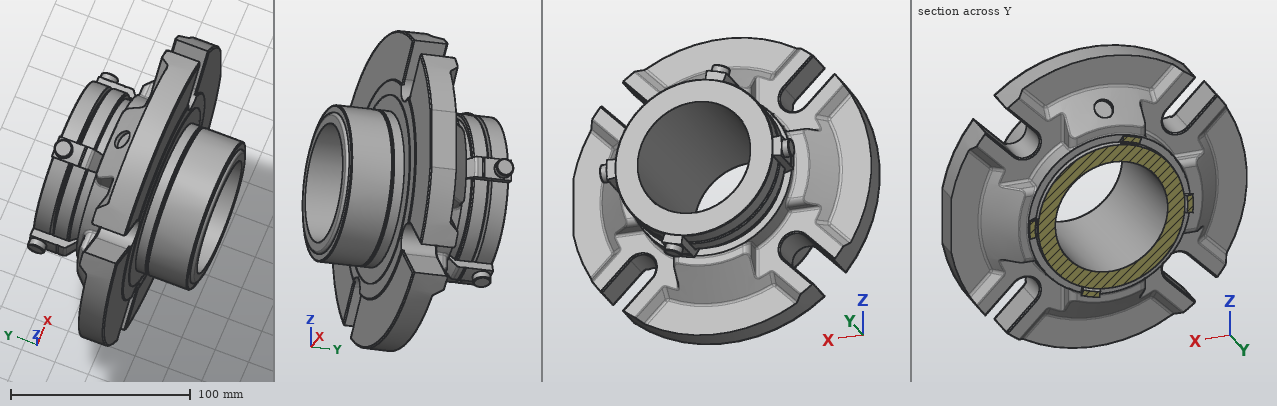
import cadquery as cq
import math

EPS = 0.01

BORE_R = 66.67 / 2
SLEEVE_R = 87.63 / 2
NOSE_Y = -33.7
SHOULDER_Y = -32.0
NOSE_R = 79.35 / 2
NOSE_FILLET_R = 1.6
SHOULDER_CHAMFER = 0.6
GROOVE_R = 84.28 / 2
GROOVE_FRONT_Y = -8.5
GROOVE_BACK_Y = -7.4
GROOVE_CHAMFER = 0.5

FLANGE_R = 177.55 / 2
FLANGE_T = 15.0
FLAT_X = 175.92 - FLANGE_R
FLANGE_CHAMFER = 0.8

OUTER_STEP_R = 123.2 / 2
OUTER_STEP_H = 0.6
OUTER_STEP_CHAMFER = 0.6
INNER_STEP_R = 105.77 / 2
INNER_STEP_H = 1.1

SLOT_W = 17.6
SLOT_CENTRE_R = 64.2
SLOT_ANGLES = [45, 135, 225, 315]
PAD_TOP_Y = 20.3
PAD_TOP_W = 35.8
PAD_BASE_W = 45.0
PAD_BLEND_R = 3.0
PAD_FOOT_R = 2.2
PAD_OVERHANG = 4.0

HUB_BASE_R = 70.7

COLLAR_R = 48.2
COLLAR_TOP_Y = 32.5
LUG_W = 45.4
LUG_CORNER_R = 3.7
LUG_TOP_Y = 32.0
LOW_LUG_TOP_Y = 28.7
LUG_TOPS = {0: LUG_TOP_Y, 90: LUG_TOP_Y, 180: LOW_LUG_TOP_Y, 270: LUG_TOP_Y}
LUG_EDGE_R = 1.0
LUG_ROOT_R = 1.4
BASE_R = 1.5

PORT_D = 11.0
PORT_Y = 24.4
PORT_DEPTH = 2.5

RING_R = 93.5 / 2
FRONT_RING_Y = 38.2
GAP_FRONT_Y = 47.6
GAP_BACK_Y = 49.2
GAP_R = 81.36 / 2
BACK_Y = 92.63 + NOSE_Y
RING_CHAMFER = 0.8
BACK_CHAMFER = 0.4

CLIP_ANGLES = [0, 105, 180, 285]
CLIP_SPAN = 13.4
CLIP_INNER_R = 46.5
CLIP_OUTER_R = 51.7
CLIP_BEND_Y = 38.2
CLIP_BEND_R = 2.0
CLIP_INNER_BEND_Y = 37.4
CLIP_TIP_R = 43.5
CLIP_TIP_OUTER_R = 44.2
CLIP_TIP_BACK_Y = 34.3
CLIP_GROOVE_Y = 42.7
CLIP_GROOVE_W = 1.1
CLIP_GROOVE_DEPTH = 0.2
SCREW_D = 10.0
SCREW_TOP_R = 55.8
SCREW_CHAMFER = 0.5


def revolve(points, span=360):
    """Solid of revolution about Y from (radius, y) points, through span degrees."""
    return cq.Workplane("XY").polyline(points).close().revolve(span, (0, 0, 0), (0, 1, 0))


def disc(radius, y_start, y_end):
    """Solid cylinder about Y."""
    return revolve([(0, y_start), (radius, y_start), (radius, y_end), (0, y_end)])


def turned(shape, angle):
    """Shape made on the +X side, turned from +X towards +Z."""
    return shape.rotate((0, 0, 0), (0, 1, 0), -angle)


def radius_of(edge):
    """Distance from the Y axis to the middle of an edge."""
    return math.hypot(edge.Center().x, edge.Center().z)


def cone_radius(y):
    """Radius of the 45 degree hub cone at height y."""
    return HUB_BASE_R - (y - FLANGE_T)


def make_sleeve():
    """Nose, grooved front sleeve, neck and the two rings."""
    sleeve = revolve([
        (0, NOSE_Y),
        (NOSE_R, NOSE_Y),
        (NOSE_R, SHOULDER_Y),
        (SLEEVE_R - SHOULDER_CHAMFER, SHOULDER_Y),
        (SLEEVE_R, SHOULDER_Y + SHOULDER_CHAMFER),
        (SLEEVE_R, GROOVE_FRONT_Y),
        (GROOVE_R, GROOVE_FRONT_Y),
        (GROOVE_R, GROOVE_BACK_Y),
        (SLEEVE_R - GROOVE_CHAMFER, GROOVE_BACK_Y),
        (SLEEVE_R, GROOVE_BACK_Y + GROOVE_CHAMFER),
        (SLEEVE_R, FRONT_RING_Y),
        (RING_R - RING_CHAMFER, FRONT_RING_Y),
        (RING_R, FRONT_RING_Y + RING_CHAMFER),
        (RING_R, GAP_FRONT_Y - RING_CHAMFER),
        (RING_R - RING_CHAMFER, GAP_FRONT_Y),
        (GAP_R, GAP_FRONT_Y),
        (GAP_R, GAP_BACK_Y),
        (RING_R, GAP_BACK_Y),
        (RING_R, BACK_Y - BACK_CHAMFER),
        (RING_R - BACK_CHAMFER, BACK_Y),
        (0, BACK_Y),
    ])
    return sleeve.faces("<Y").edges().fillet(NOSE_FILLET_R)


def make_slot(angle):
    """Round-ended slot cutter, open at the rim."""
    length = FLANGE_R
    depth = 2 * PAD_TOP_Y
    arm = cq.Workplane("XY").box(length, depth, SLOT_W).translate((SLOT_CENTRE_R + length / 2, 0, 0))
    end = disc(SLOT_W / 2, -depth / 2, depth / 2).translate((SLOT_CENTRE_R, 0, 0))
    return turned(arm.union(end).translate((0, PAD_TOP_Y / 2, 0)), angle)


def make_pad(angle):
    """Raised pad with sloping sides, reaching from the hub past the rim."""
    base = PAD_BASE_W / 2
    top = PAD_TOP_W / 2
    section = [(FLANGE_T, -base), (FLANGE_T, base), (PAD_TOP_Y, top), (PAD_TOP_Y, -top)]
    pad = cq.Workplane("YZ").polyline(section).close().extrude(2 * FLANGE_R)
    return turned(pad.intersect(disc(FLANGE_R + PAD_OVERHANG, FLANGE_T, PAD_TOP_Y)), angle)


def make_coned_disc():
    """Flange disc with a full cone and the four pads behind it, all blended, trimmed to the rim."""
    cone = revolve([
        (0, FLANGE_T),
        (cone_radius(FLANGE_T), FLANGE_T),
        (cone_radius(COLLAR_TOP_Y), COLLAR_TOP_Y),
        (0, COLLAR_TOP_Y),
    ])
    for angle in SLOT_ANGLES:
        cone = cone.union(make_pad(angle))

    def is_inside_corner(edge):
        beside_pad = FLANGE_T + EPS < edge.Center().y < PAD_TOP_Y - EPS
        return beside_pad and radius_of(edge) < FLANGE_R - PAD_OVERHANG

    def is_foot(edge):
        return abs(edge.Center().y - FLANGE_T) < EPS and radius_of(edge) < FLANGE_R - PAD_OVERHANG

    cone = cone.edges().filter(is_inside_corner).fillet(PAD_BLEND_R)
    body = disc(FLANGE_R + 2 * PAD_OVERHANG, 0, FLANGE_T).union(cone)
    body = body.edges().filter(is_foot).fillet(PAD_FOOT_R)
    return body.intersect(disc(FLANGE_R, 0, COLLAR_TOP_Y))


def make_lug_bar(angle, top_y):
    """Bar with rounded top corners, running out from the axis at the width of a lug."""
    height = top_y - PAD_TOP_Y
    bar = cq.Workplane("XY").box(FLANGE_R, height, LUG_W).edges("|X and >Y").fillet(LUG_CORNER_R)
    return turned(bar.translate((FLANGE_R / 2, PAD_TOP_Y + height / 2, 0)), angle)


def make_back_envelope():
    """Collar and lug bars standing on a plate: the limit that shapes the back of the coned disc."""
    envelope = disc(COLLAR_R, PAD_TOP_Y, COLLAR_TOP_Y)
    for angle, top_y in LUG_TOPS.items():
        envelope = envelope.union(make_lug_bar(angle, top_y))

    def is_lug_root(edge):
        on_collar = abs(radius_of(edge) - COLLAR_R) < LUG_ROOT_R
        return on_collar and PAD_TOP_Y + EPS < edge.Center().y < LUG_TOP_Y - EPS

    def is_base(edge):
        return abs(edge.Center().y - PAD_TOP_Y) < EPS and radius_of(edge) < FLANGE_R

    envelope = envelope.edges().filter(is_lug_root).fillet(LUG_ROOT_R)
    envelope = envelope.union(disc(2 * FLANGE_R, 0, PAD_TOP_Y))
    return envelope.edges().filter(is_base).fillet(BASE_R)


def make_flange_body():
    """Flange disc, pads, hub, collar and lugs, with the rims of the sloping lug faces rounded."""
    def is_lug_rim(edge):
        y = edge.Center().y
        near_cone = abs(radius_of(edge) - cone_radius(y)) < LUG_CORNER_R
        clear_of_collar = radius_of(edge) > COLLAR_R + LUG_ROOT_R
        curved = edge.geomType() in ("HYPERBOLA", "BSPLINE", "CIRCLE")
        return y > PAD_TOP_Y + EPS and clear_of_collar and near_cone and curved

    body = make_coned_disc().intersect(make_back_envelope())
    return body.edges().filter(is_lug_rim).fillet(LUG_EDGE_R)


def make_front_steps():
    """Two shallow steps standing on the front face of the flange."""
    return revolve([
        (0, -INNER_STEP_H),
        (INNER_STEP_R, -INNER_STEP_H),
        (INNER_STEP_R, -OUTER_STEP_H),
        (OUTER_STEP_R - OUTER_STEP_CHAMFER, -OUTER_STEP_H),
        (OUTER_STEP_R, 0),
        (OUTER_STEP_R, FLANGE_CHAMFER),
        (0, FLANGE_CHAMFER),
    ])


def make_flange():
    """Flange body with its flat, bolt slots, edge chamfers and front steps."""
    size = 4 * FLANGE_R
    beyond_flat = cq.Workplane("XY").box(size, size, size).translate((FLAT_X + size / 2, 0, 0))
    flange = make_flange_body().cut(beyond_flat)
    steps = make_front_steps()
    for angle in SLOT_ANGLES:
        flange = flange.cut(make_slot(angle))
        steps = steps.cut(make_slot(angle))

    def is_slot_back(edge):
        centre = edge.Center()
        off_diagonal = abs(abs(centre.x) - abs(centre.z)) / math.sqrt(2)
        on_slot = abs(off_diagonal - SLOT_W / 2) < EPS and edge.geomType() == "LINE"
        return abs(centre.y - PAD_TOP_Y) < EPS and on_slot

    flange = flange.faces("<Y").chamfer(FLANGE_CHAMFER)
    flange = flange.edges().filter(is_slot_back).chamfer(FLANGE_CHAMFER)
    return flange.union(steps)


def make_port():
    """Drill for the port, square to the 45 degree face of the +Z lug."""
    face = cq.Plane(origin=(0, PORT_Y, cone_radius(PORT_Y)), xDir=(1, 0, 0), normal=(0, 1, 1))
    return cq.Workplane(face).circle(PORT_D / 2).extrude(PORT_DEPTH, both=True)


def make_clip(angle):
    """Clip as a sector with a bent tip and a shallow groove, and the screw head on it."""
    clip = revolve([
        (CLIP_INNER_R, BACK_Y),
        (CLIP_OUTER_R, BACK_Y),
        (CLIP_OUTER_R, CLIP_BEND_Y),
        (CLIP_TIP_OUTER_R, COLLAR_TOP_Y),
        (CLIP_TIP_R, COLLAR_TOP_Y),
        (CLIP_TIP_R, CLIP_TIP_BACK_Y),
        (CLIP_INNER_R, CLIP_INNER_BEND_Y),
    ], CLIP_SPAN)
    groove_floor_r = CLIP_OUTER_R - CLIP_GROOVE_DEPTH
    groove_front_y = CLIP_GROOVE_Y - CLIP_GROOVE_W / 2
    groove_back_y = CLIP_GROOVE_Y + CLIP_GROOVE_W / 2
    groove = revolve([
        (groove_floor_r, groove_front_y),
        (groove_floor_r, groove_back_y),
        (CLIP_OUTER_R + EPS, groove_back_y),
        (CLIP_OUTER_R + EPS, groove_front_y),
    ])
    clip = clip.rotate((0, 0, 0), (0, 1, 0), -CLIP_SPAN / 2)
    is_bend = cq.selectors.NearestToPointSelector((CLIP_OUTER_R, CLIP_BEND_Y, 0))
    clip = clip.edges(is_bend).fillet(CLIP_BEND_R).cut(groove)
    head = cq.Workplane("YZ", origin=(CLIP_INNER_R, BACK_Y - SCREW_D / 2, 0)).circle(SCREW_D / 2)
    head = head.extrude(SCREW_TOP_R - CLIP_INNER_R).faces(">X").chamfer(SCREW_CHAMFER)
    return turned(clip.union(head), angle)


result = make_flange().cut(make_port()).union(make_sleeve())
for clip_angle in CLIP_ANGLES:
    result = result.union(make_clip(clip_angle))
result = result.cut(disc(BORE_R, NOSE_Y - EPS, BACK_Y + EPS))